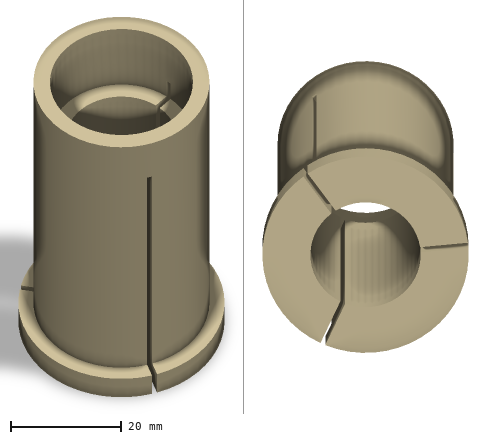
import cadquery as cq

length = 64.6
flange_diameter = 37.5
flange_height = 5.0
tube_diameter = 32.0

mouth_diameter = 26.0
mouth_depth = 15.0
bore_diameter = 20.0

slot_width = 1.0
rear_slot_angle = 90
slot_spacing = 120
side_slot_top = length - 9.0
rear_slot_top = length - 10.85


def cylinder(diameter, bottom, top):
    return cq.Workplane("XY").workplane(offset=bottom).circle(diameter / 2).extrude(top - bottom)


def radial_slot(angle, top):
    """Slot running from the axis out past the flange, open at the bottom."""
    slot = cq.Workplane("XY").box(flange_diameter, slot_width, top, centered=(False, True, False))
    return slot.rotate((0, 0, 0), (0, 0, 1), angle)


result = cylinder(tube_diameter, 0, length).union(cylinder(flange_diameter, 0, flange_height))

result = result.cut(cylinder(bore_diameter, 0, length))
result = result.cut(cylinder(mouth_diameter, length - mouth_depth, length))

result = result.cut(radial_slot(rear_slot_angle, rear_slot_top))
for side in (-1, 1):
    result = result.cut(radial_slot(rear_slot_angle + side * slot_spacing, side_slot_top))